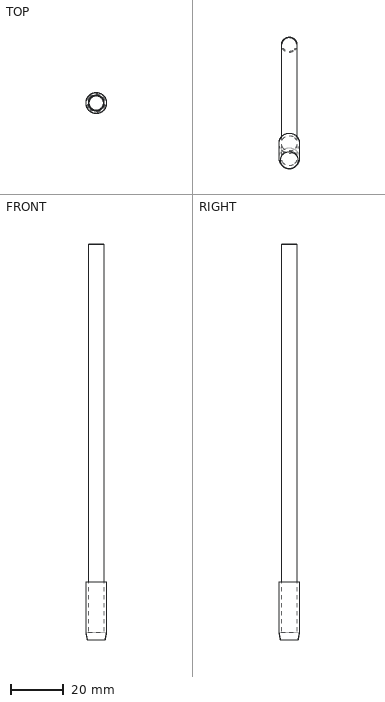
import cadquery as cq

total_length = 150.0
bottom_z = -total_length / 2

rod_diameter = 6.0
rod_chamfer = 0.3

sleeve_diameter = 8.0
sleeve_length = 22.0
nose_length = 3.0
nose_tip_diameter = 6.8

floor_thickness = nose_length


def make_rod():
    """Round rod standing on the sleeve floor, with its top edge chamfered."""
    return (
        cq.Workplane("XY", origin=(0, 0, bottom_z + floor_thickness))
        .circle(rod_diameter / 2)
        .extrude(total_length - floor_thickness)
        .faces(">Z")
        .chamfer(rod_chamfer)
    )


def make_sleeve():
    """Cup with a tapered nose at its closed end and a bore for the rod."""
    sleeve_radius = sleeve_diameter / 2
    bore_radius = rod_diameter / 2
    profile = (
        cq.Workplane("XZ", origin=(0, 0, bottom_z))
        .lineTo(nose_tip_diameter / 2, 0)
        .lineTo(sleeve_radius, nose_length)
        .lineTo(sleeve_radius, sleeve_length)
        .lineTo(bore_radius, sleeve_length)
        .lineTo(bore_radius, floor_thickness)
        .lineTo(0, floor_thickness)
        .close()
    )
    return profile.revolve(360, (0, 0, 0), (0, 1, 0))


rod = make_rod()
sleeve = make_sleeve()
result = cq.Compound.makeCompound([rod.val(), sleeve.val()])